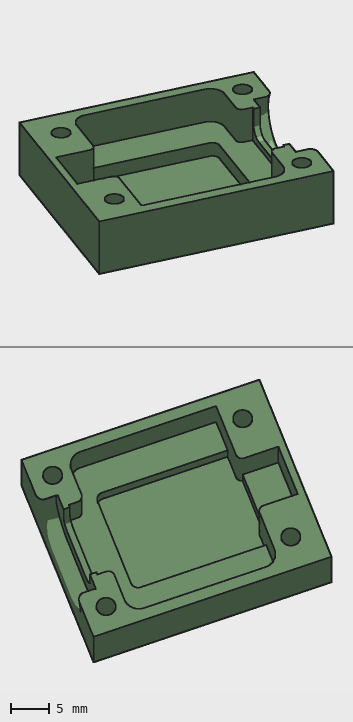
import cadquery as cq

WIDTH = 27.0
LENGTH = 33.0
HEIGHT = 8.0
BACK = LENGTH / 2

POCKET_DEPTH = 4.98
POCKET_HALF_WIDTH = 11.9
POCKET_FRONT = -9.9
POCKET_BACK = 10.9
POCKET_CORNER_RADIUS = 4.0 / 2
SMALL_CORNER_RADIUS = 0.2
NECK_HALF_WIDTH = 5.3
MOUTH_RADIUS = 0.82

RECESS_DEPTH = 2.0
RECESS_LEFT = -6.83
RECESS_RIGHT = 7.6
RECESS_FRONT = -10.53
RECESS_BACK = 8.48
RECESS_CORNER_RADIUS = 1.0

SLOT_LEFT = -3.55
SLOT_RIGHT = 3.65
SLOT_FRONT = -15.48

OPENING_FLAT_HALF_WIDTH = 3.27
OPENING_INNER_DEPTH = 4.12
OPENING_INNER_RADIUS = 1.68
OPENING_OUTER_CENTER_DEPTH = 2.3
OPENING_OUTER_RADIUS = 4.5
OPENING_INNER_START = 12.95
OPENING_OUTER_START = 13.83
OPENING_FLARE_RADIUS = 1.0

HOLE_DIAMETER = 2.5
HOLE_PAIRS = ((10.0, 13.45), (9.0, -12.5))


def box_between(left, right, front, back, bottom, top):
    return cq.Workplane("XY").box(
        right - left, back - front, top - bottom, centered=False
    ).translate((left, front, bottom))


def round_edge(solid, x, y, radius):
    """Round the vertical edge of a solid nearest to (x, y)."""
    nearest = cq.selectors.NearestToPointSelector((x, y, solid.val().Center().z))
    return solid.edges("|Z").edges(nearest).fillet(radius)


def cavity(depth):
    """Pocket outline with its neck and slot, taken down from the top face."""
    floor = HEIGHT - depth
    pocket = box_between(
        -POCKET_HALF_WIDTH, POCKET_HALF_WIDTH, POCKET_FRONT, POCKET_BACK, floor, HEIGHT
    )
    pocket = pocket.edges("|Z and (<X or >Y)").fillet(POCKET_CORNER_RADIUS)
    pocket = round_edge(pocket, POCKET_HALF_WIDTH, POCKET_FRONT, SMALL_CORNER_RADIUS)

    neck = box_between(
        -NECK_HALF_WIDTH, NECK_HALF_WIDTH, 0, OPENING_INNER_START, floor, HEIGHT
    )
    slot = box_between(SLOT_LEFT, SLOT_RIGHT, SLOT_FRONT, 0, floor, HEIGHT)
    pocket = pocket.union(neck).union(slot)
    for x, y in (
        (-NECK_HALF_WIDTH, POCKET_BACK),
        (NECK_HALF_WIDTH, POCKET_BACK),
        (SLOT_LEFT, POCKET_FRONT),
        (SLOT_RIGHT, POCKET_FRONT),
    ):
        pocket = round_edge(pocket, x, y, MOUTH_RADIUS)
    return pocket


def recess():
    """Recess with rounded back corners, kept within the pocket outline at the front."""
    total_depth = POCKET_DEPTH + RECESS_DEPTH
    area = box_between(
        RECESS_LEFT, RECESS_RIGHT, RECESS_FRONT, RECESS_BACK, HEIGHT - total_depth, HEIGHT
    )
    area = area.edges("|Z and >Y").fillet(RECESS_CORNER_RADIUS)
    return area.intersect(cavity(total_depth))


def inner_opening():
    """U-shaped cutter with straight sides, rounded at the bottom."""
    half_width = OPENING_FLAT_HALF_WIDTH + OPENING_INNER_RADIUS
    opening = box_between(
        -half_width, half_width, OPENING_INNER_START, BACK, HEIGHT - OPENING_INNER_DEPTH, HEIGHT
    )
    return opening.edges("|Y and <Z").fillet(OPENING_INNER_RADIUS)


def outer_opening():
    """Round-ended cutter whose widest level lies below the top face."""
    height = 2 * OPENING_OUTER_RADIUS
    length = 2 * OPENING_FLAT_HALF_WIDTH + height
    return (
        cq.Workplane("XZ", origin=(0, BACK, HEIGHT - OPENING_OUTER_CENTER_DEPTH))
        .slot2D(length, height)
        .extrude(BACK - OPENING_OUTER_START)
    )


def screw_holes():
    points = [(side * x, y) for x, y in HOLE_PAIRS for side in (-1, 1)]
    return cq.Workplane("XY").pushPoints(points).circle(HOLE_DIAMETER / 2).extrude(HEIGHT)


def flare_opening(body):
    """Round the rim of the outer opening on the back face."""
    rim_bottom = HEIGHT - OPENING_OUTER_CENTER_DEPTH - OPENING_OUTER_RADIUS
    rim = cq.selectors.NearestToPointSelector((0, BACK, rim_bottom))
    return body.edges(rim).fillet(OPENING_FLARE_RADIUS)


block = cq.Workplane("XY").box(WIDTH, LENGTH, HEIGHT, centered=(True, True, False))
body = flare_opening(block.cut(outer_opening()))
result = body.cut(inner_opening()).cut(cavity(POCKET_DEPTH)).cut(recess()).cut(screw_holes())